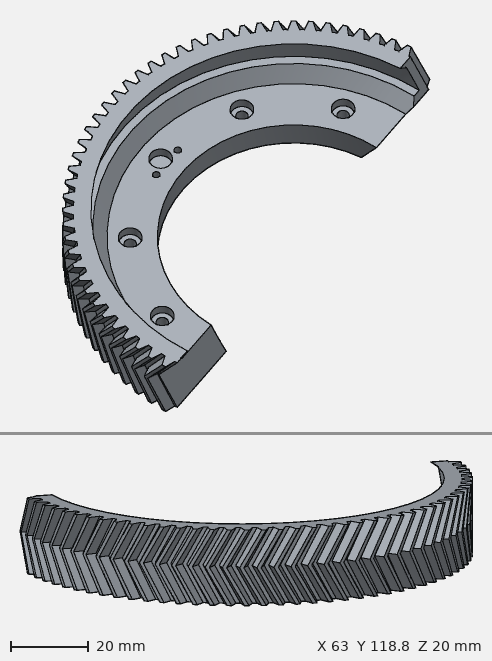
import cadquery as cq
import math


tip_radius = 59.4
height = 20.0
half_height = height / 2
bore_radius = 35.0

tooth_count = 84
root_radius = 56.7
gap_width_at_tip = 3.3
gap_width_at_root = 1.2
helix_angle = 30.0
spare_teeth = 3
tooth_pitch = 2 * math.pi / tooth_count
helix_lead = half_height * math.tan(math.radians(helix_angle))
twist = math.degrees(helix_lead / tip_radius)

end_reach = 3.6
v_point = helix_lead - end_reach

web_top = -1.9
shelf_top = 1.9
web_radius = 48.0
shelf_radius = 51.7
undercut_radius = 53.9
lip_radius = 52.1
lip_drop = 1.2

screw_circle_radius = 42.0
screw_angles = [108, 144, 216, 252]
screw_diameter = 3.2
pocket_diameter = 6.0
pocket_depth = 3.0
pin_diameter = 1.9
pin_x = -40.0
pin_y = 4.8


def polar(radius, angle):
    return radius * math.cos(angle), radius * math.sin(angle)


def tooth_outline():
    """Straight-flanked teeth at mid height, closed through the centre into a sector."""
    tip_half_gap = gap_width_at_tip / tip_radius / 2
    root_half_gap = gap_width_at_root / root_radius / 2
    face_gap = math.pi / 2 + math.asin(end_reach / tip_radius)
    first_gap = face_gap - math.radians(twist) - spare_teeth * tooth_pitch
    sector_teeth = tooth_count // 2 + 2 * spare_teeth

    outline = cq.Workplane("XY").lineTo(*polar(tip_radius, first_gap - tip_half_gap))
    for index in range(sector_teeth):
        gap = first_gap + index * tooth_pitch
        next_gap = gap + tooth_pitch
        outline = (
            outline.lineTo(*polar(root_radius, gap - root_half_gap))
            .threePointArc(polar(root_radius, gap), polar(root_radius, gap + root_half_gap))
            .lineTo(*polar(tip_radius, gap + tip_half_gap))
            .threePointArc(
                polar(tip_radius, gap + tooth_pitch / 2),
                polar(tip_radius, next_gap - tip_half_gap),
            )
        )
    return outline.close()


def herringbone_sector():
    upper = tooth_outline().twistExtrude(half_height, twist)
    return upper.union(upper.mirror("XY"), glue=True)


def inner_void():
    """Revolved bore and stepped recess, undercutting a sharp sloping lip on the rim."""
    undercut_top = half_height - lip_drop
    profile = [
        (0, -half_height),
        (bore_radius, -half_height),
        (bore_radius, web_top),
        (web_radius, web_top),
        (shelf_radius, shelf_top),
        (undercut_radius, shelf_top),
        (undercut_radius, undercut_top),
        (lip_radius, half_height),
        (0, half_height),
    ]
    return cq.Workplane("XZ").polyline(profile).close().revolve(360, (0, 0), (0, 1))


def half_ring_envelope():
    """Region kept on the -X side: projecting V at the +Y end, matching notch at the -Y end."""
    def end_block(face_x, point_x, y_direction):
        section = [
            (-tip_radius, -half_height),
            (face_x, -half_height),
            (point_x, 0),
            (face_x, half_height),
            (-tip_radius, half_height),
        ]
        return cq.Workplane("XZ").polyline(section).close().extrude(-y_direction * tip_radius)

    projecting_end = end_block(-end_reach, v_point, 1)
    notched_end = end_block(end_reach, -v_point, -1)
    return projecting_end.union(notched_end)


def web_holes():
    web_plane = cq.Workplane("XY", origin=(0, 0, web_top))
    web_thickness = half_height + web_top
    screw_points = [polar(screw_circle_radius, math.radians(angle)) for angle in screw_angles]
    pocket_points = screw_points + [(-screw_circle_radius, 0)]
    pin_points = [(pin_x, pin_y), (pin_x, -pin_y)]

    screws = web_plane.pushPoints(screw_points).circle(screw_diameter / 2).extrude(-web_thickness)
    pockets = web_plane.pushPoints(pocket_points).circle(pocket_diameter / 2).extrude(-pocket_depth)
    pins = web_plane.pushPoints(pin_points).circle(pin_diameter / 2).extrude(-web_thickness)
    return screws.union(pockets).union(pins)


result = herringbone_sector().cut(inner_void()).intersect(half_ring_envelope()).cut(web_holes())